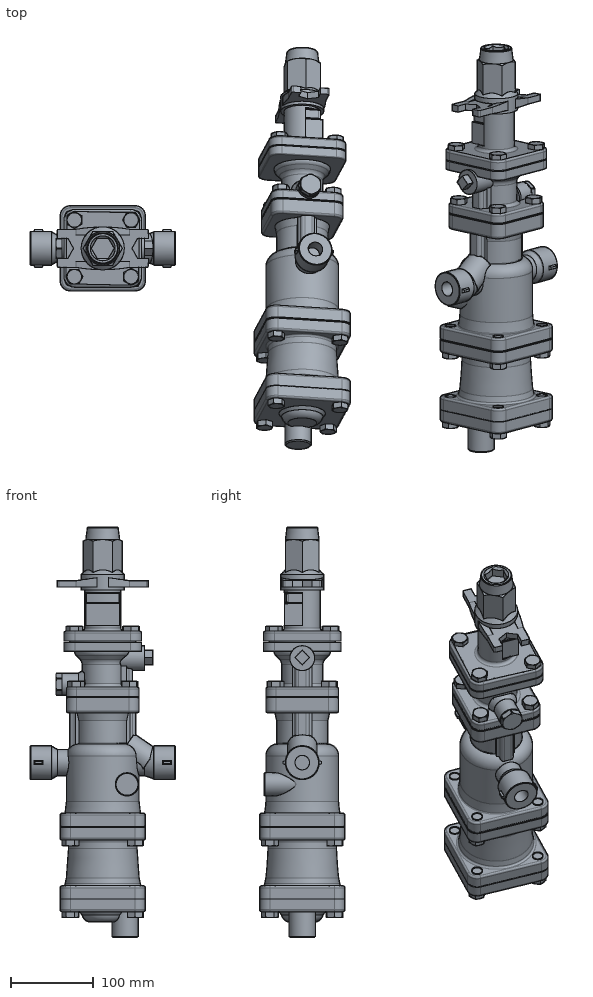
import cadquery as cq
import math


BOTTOM_FLANGE = dict(
    bottom=-180.0, top=-148.5, width=103.0, corner=12.5,
    joint=-164.7, bolt=39.0, under=2.5,
)
BODY_FLANGE = dict(
    bottom=-93.5, top=-61.0, width=103.0, corner=12.5,
    joint=-77.5, bolt=39.0, under=2.5,
)
NECK_FLANGE = dict(
    bottom=60.0, top=91.2, width=88.0, corner=12.5,
    joint=79.0, bolt=32.0, under=2.5,
)
BONNET_FLANGE = dict(
    bottom=134.0, top=158.6, width=94.0, corner=13.5,
    joint=145.8, bolt=34.2, under=1.0,
)
FLANGE_TOP_FILLET = 2.5
JOINT_GAP = 1.4
JOINT_GAP_NARROW = 0.2
GASKET_MARGIN = 1.5
BONNET_GASKET_DIA = 80.0

BOLT_FLATS = 17.8
BOLT_CHAMFER_DIA = 17.48
BOLT_CHAMFER_ANGLE = 20.0
BOLT_HEAD = 7.0
BONNET_BOLT_HEAD = 6.0
BOLT_TIP_DIA = 12.0
BOLT_TIP_GAP = 0.5
BOLT_TIP_RECESS = 1.0

BODY_DIA = 88.0
BODY_FOOT_DIA = 91.0
BODY_TAPER_TOP = -47.0
BODY_FOOT_FILLET = 1.0
SHOULDER_BOTTOM = 8.0
SHOULDER_TOP = 22.7
NECK_DIA = 62.0
NECK_FOOT_FILLET = 1.0
NECK_FOOT_Z = 22.4
NECK_HEAD_DIA = 66.0
NECK_HEAD_BOTTOM = 50.5
BARREL_TOP_DIA = 83.0
BARREL_FOOT_DIA = 91.0
BARREL_FOOT_FILLET = 2.5
BARREL_COLLAR_BOTTOM = -103.5
BARREL_TAPER_BOTTOM = -139.0
BARREL_BOTTOM_DIA = 88.0

COVER_RIM_DIA = 56.0
COVER_KNEE_DIA = 50.0
COVER_KNEE_Z = -184.0
COVER_FACE_DIA = 35.0
COVER_FACE_Z = -192.0
COVER_ROUND = 11.0
DRAIN_DIA = 32.0
DRAIN_X = 27.0
DRAIN_BOTTOM = -211.0
DRAIN_CHAMFER = 1.5

PORT_SPAN = 175.0
PORT_DIA = 41.0
PORT_LENGTH = 26.3
PORT_EDGE_CHAMFER = 0.8
PORT_BORE_DIA = 17.48
PORT_BORE_DEPTH = 20.0
INLET_CONE_LENGTH = 6.5
OUTLET_CONE_LENGTH = 11.0
PIPE_DIA = 32.0
LUG_LENGTH = 12.0
LUG_HEIGHT = 5.5
LUG_REACH = 23.0
LUG_ROOT = 1.0
LUG_INSET = 10.0
LUG_TIP_LENGTH = 9.0
LUG_TIP_HEIGHT = 2.5
ELBOW_DIA = 36.0
ELBOW_START = (28.0, 20.0)
ELBOW_END = (55.0, 1.5)

RIB_REACH = 40.0
UPPER_RIB_REACH = 36.0
RIB_TIP_HALF = 4.3
RIB_FOOT_HALF = 11.5
RIB_ROUND = 4.2
RIB_FOOT_ROUND = RIB_FOOT_HALF - RIB_TIP_HALF - RIB_ROUND

FRONT_BOSS_DIA = 28.0
FRONT_BOSS_X = 29.3
FRONT_BOSS_Z = -26.2
FRONT_BOSS_FACE = 46.0
FRONT_BOSS_CHAMFER = 0.8

THROAT_DIA = 50.0
THROAT_FOOT_FILLET = 4.0
FLARE_BOTTOM = 118.5
FLARE_CONE_BOTTOM = 124.5
FLARE_CONE_TOP = 129.0
SCREEN_BOSS_DIA = 27.0
SCREEN_BOSS_Z = 94.5
SCREEN_BOSS_END = 49.0
SCREEN_BOSS_ROOT_DIA = 36.0
SCREEN_BOSS_ROOT_X = 22.0
SCREEN_BOSS_ROOT_END = 29.5
SCREEN_PLUG_FLATS = 24.0
SCREEN_PLUG_END = 56.5
SCREEN_PLUG_CHAMFER = 1.0
PLUG_BOSS_DIA = 30.0
PLUG_BOSS_Z = 126.0
PLUG_BOSS_END = 50.6
SQUARE_PLUG_DIAGONAL = 17.6
SQUARE_PLUG_Z = 126.8
SQUARE_PLUG_END = 60.6

STEM_DIA = 44.0
STEM_FOOT_FILLET = 4.0
STEM_BLOCK_WIDTH = 40.0
STEM_BLOCK_FACE = 21.5
STEM_BLOCK_BOTTOM = 165.5
STEM_BLOCK_TOP = 191.7
STEM_PAD_BOTTOM = 193.2
STEM_PAD_TOP = 203.8
STEM_PAD_FLAT_END = 16.5
STEM_PAD_EDGE = 18.7
STEM_PAD_CHAMFER = 0.4
STEM_GROOVE_DEPTH = 1.5
HUB_DIA = 52.0
HUB_BOTTOM = 208.0
HUB_TOP = 227.0
HUB_GROOVE_DIA = 46.0
HUB_GROOVE_WIDTH = 1.0
HANDLE_LENGTH = 110.0
HANDLE_WIDTH = 46.0
HANDLE_BOTTOM = 211.7
HANDLE_TOP = 219.6
HANDLE_WRENCH_FLATS = 24.0
HANDLE_WRENCH_X = 49.0
HANDLE_STEP_LENGTH = 64.0
HANDLE_STEP_DEPTH = 7.0
HANDLE_STEP_RISE = 3.5
HANDLE_STEP_SWELL = 2.8
HANDLE_CORNER_ROUND = 2.0
KEY_WIDTH = 13.4
KEY_BOTTOM = 209.5
KEY_TOP = 224.2
CAP_FLATS = 41.0
CAP_CONE_BOTTOM_Z = 269.0
CAP_CONE_TOP_DIA = 37.5
CAP_TOP = 284.0
CAP_FLANGE_TOP = 232.5
CAP_FLANGE_TOP_DIA = 41.0
SOCKET_FLATS = 24.0
SOCKET_MOUTH_DIA = 30.0
SOCKET_DEPTH = 13.0
CAP_EDGE_CHAMFER = 1.0


def cylinder_z(diameter, z0, z1, x=0.0, y=0.0):
    """Upright cylinder from z0 to z1."""
    return cq.Workplane("XY", origin=(x, y, z0)).circle(diameter / 2).extrude(z1 - z0)


def cylinder_x(diameter, x0, x1, z=0.0):
    """Cylinder along X from x0 to x1, in the plane Y = 0."""
    return cq.Workplane("YZ", origin=(x0, 0, z)).circle(diameter / 2).extrude(x1 - x0)


def box(x0, x1, y0, y1, z0, z1):
    """Block between two opposite corners."""
    base = cq.Workplane("XY", origin=((x0 + x1) / 2, (y0 + y1) / 2, z0))
    return base.rect(x1 - x0, y1 - y0).extrude(z1 - z0)


def across_corners(flats):
    return flats / math.cos(math.pi / 6)


def turned(outline):
    """Solid made by turning a closed XZ outline around the Z axis."""
    return outline.revolve(360, (0, 0, 0), (0, 1, 0))


def revolve_profile(points):
    """Solid turned from straight (r, z) outline points."""
    return turned(cq.Workplane("XZ").polyline(points).close())


def square_flange(flange, gap):
    """Two square plates with rounded corners that meet at a thin gap around the gasket."""
    half = flange["width"] / 2
    joint = flange["joint"]
    plate = box(-half, half, -half, half, flange["bottom"], flange["top"])
    plate = plate.edges("|Z").fillet(flange["corner"])
    plate = plate.faces(">Z").edges().fillet(FLANGE_TOP_FILLET)
    plate = plate.faces("<Z").edges().fillet(flange["under"])
    gap_slab = box(-half, half, -half, half, joint - gap / 2, joint + gap / 2)
    return plate.cut(gap_slab)


def gasket(flange, gap):
    """Gasket that fills the joint just inside the flange outline."""
    width = flange["width"] - 2 * GASKET_MARGIN
    corner = flange["corner"] - GASKET_MARGIN
    sheet = cq.Workplane("XY", origin=(0, 0, flange["joint"] - gap / 2)).rect(width, width).extrude(gap)
    return sheet.edges("|Z").fillet(corner)


def bolt_head(x, y, seat, height, upward, turn):
    """Hexagon bolt head on a seat; its outer rim is chamfered down to a circle."""
    rim = across_corners(BOLT_FLATS)
    drop = (rim - BOLT_CHAMFER_DIA) / 2 * math.tan(math.radians(BOLT_CHAMFER_ANGLE))
    hexagon = cq.Workplane("XY").polygon(6, rim).extrude(height).rotate((0, 0, 0), (0, 0, 1), turn)
    envelope = revolve_profile([
        (0, 0),
        (rim / 2, 0),
        (rim / 2, height - drop),
        (BOLT_CHAMFER_DIA / 2, height),
        (0, height),
    ])
    head = hexagon.intersect(envelope)
    if not upward:
        head = head.mirror("XY")
    return head.translate((x, y, seat))


def bolt_heads(flange, height, upward):
    """Four bolt heads, each turned a quarter further around the flange."""
    seat = flange["top"] if upward else flange["bottom"]
    offset = flange["bolt"]
    heads = cq.Workplane("XY")
    for quarter in range(4):
        angle = math.radians(45 + 90 * quarter)
        x = offset * math.sqrt(2) * math.cos(angle)
        y = offset * math.sqrt(2) * math.sin(angle)
        turn = 90 * quarter
        heads = heads.add(bolt_head(x, y, seat, height, upward, turn))
    return heads.combine()


def bolt_tip_rings(flange):
    """Shallow ring clearances around the bolt ends in the top face of a flange."""
    offset = flange["bolt"]
    spots = [(sx * offset, sy * offset) for sx in (-1, 1) for sy in (-1, 1)]
    floor = cq.Workplane("XY", origin=(0, 0, flange["top"] - BOLT_TIP_RECESS)).pushPoints(spots)
    return floor.circle(BOLT_TIP_DIA / 2 + BOLT_TIP_GAP).circle(BOLT_TIP_DIA / 2).extrude(BOLT_TIP_RECESS)


def make_flanges():
    """All four flange pairs with their gaskets and bolts."""
    flanges = cq.Workplane("XY")
    for flange in (BOTTOM_FLANGE, BODY_FLANGE, NECK_FLANGE, BONNET_FLANGE):
        gap = JOINT_GAP_NARROW if flange is BOTTOM_FLANGE else JOINT_GAP
        plate = square_flange(flange, gap)
        if flange is BONNET_FLANGE:
            seal = cylinder_z(BONNET_GASKET_DIA, flange["joint"] - gap / 2, flange["joint"] + gap / 2)
        else:
            seal = gasket(flange, gap)
        flanges = flanges.add(plate.union(seal))
    flanges = flanges.combine()
    for flange in (BOTTOM_FLANGE, BODY_FLANGE):
        flanges = flanges.cut(bolt_tip_rings(flange))
        flanges = flanges.union(bolt_heads(flange, BOLT_HEAD, upward=False))
    flanges = flanges.union(bolt_heads(NECK_FLANGE, BOLT_HEAD, upward=True))
    return flanges.union(bolt_heads(BONNET_FLANGE, BONNET_BOLT_HEAD, upward=True))


def make_body():
    """Main body with a rounded shoulder, and the neck above it."""
    shoulder_round = SHOULDER_TOP - SHOULDER_BOTTOM
    shoulder_top_r = BODY_DIA / 2 - shoulder_round
    shoulder_mid_r = shoulder_top_r + shoulder_round / math.sqrt(2)
    shoulder_mid_z = SHOULDER_BOTTOM + shoulder_round / math.sqrt(2)
    outline = (
        cq.Workplane("XZ")
        .moveTo(0, BODY_FLANGE["top"])
        .lineTo(BODY_FOOT_DIA / 2 + BODY_FOOT_FILLET, BODY_FLANGE["top"])
        .radiusArc((BODY_FOOT_DIA / 2, BODY_FLANGE["top"] + BODY_FOOT_FILLET), BODY_FOOT_FILLET)
        .lineTo(BODY_DIA / 2, BODY_TAPER_TOP)
        .lineTo(BODY_DIA / 2, SHOULDER_BOTTOM)
        .threePointArc((shoulder_mid_r, shoulder_mid_z), (shoulder_top_r, SHOULDER_TOP))
        .lineTo(0, SHOULDER_TOP)
        .close()
    )
    body = turned(outline)
    neck_outline = (
        cq.Workplane("XZ")
        .moveTo(0, 0)
        .lineTo(NECK_DIA / 2 + NECK_FOOT_FILLET, 0)
        .lineTo(NECK_DIA / 2 + NECK_FOOT_FILLET, NECK_FOOT_Z)
        .radiusArc((NECK_DIA / 2, NECK_FOOT_Z + NECK_FOOT_FILLET), NECK_FOOT_FILLET)
        .lineTo(NECK_DIA / 2, NECK_HEAD_BOTTOM)
        .lineTo(NECK_HEAD_DIA / 2, NECK_FLANGE["bottom"])
        .lineTo(0, NECK_FLANGE["bottom"])
        .close()
    )
    neck = turned(neck_outline)
    return body.union(neck)


def make_barrel():
    """Tapered barrel between the two lower flanges."""
    top_z = BODY_FLANGE["bottom"]
    outline = (
        cq.Workplane("XZ")
        .moveTo(0, BOTTOM_FLANGE["top"])
        .lineTo(BARREL_FOOT_DIA / 2 + BARREL_FOOT_FILLET, BOTTOM_FLANGE["top"])
        .radiusArc((BARREL_FOOT_DIA / 2, BOTTOM_FLANGE["top"] + BARREL_FOOT_FILLET), BARREL_FOOT_FILLET)
        .lineTo(BARREL_BOTTOM_DIA / 2, BARREL_TAPER_BOTTOM)
        .lineTo(BARREL_TOP_DIA / 2, BARREL_COLLAR_BOTTOM)
        .lineTo(BARREL_TOP_DIA / 2, top_z - BARREL_FOOT_FILLET)
        .radiusArc((BARREL_TOP_DIA / 2 + BARREL_FOOT_FILLET, top_z), BARREL_FOOT_FILLET)
        .lineTo(0, top_z)
        .close()
    )
    return turned(outline)


def make_bottom_cover():
    """Shallow dome under the bottom flange with the drain pipe beside its centre."""
    outline = (
        cq.Workplane("XZ")
        .moveTo(0, BOTTOM_FLANGE["bottom"])
        .lineTo(COVER_RIM_DIA / 2, BOTTOM_FLANGE["bottom"])
        .lineTo(COVER_KNEE_DIA / 2, COVER_KNEE_Z)
        .radiusArc((COVER_FACE_DIA / 2, COVER_FACE_Z), COVER_ROUND)
        .lineTo(0, COVER_FACE_Z)
        .close()
    )
    dome = turned(outline)
    drain = cylinder_z(DRAIN_DIA, DRAIN_BOTTOM, BOTTOM_FLANGE["bottom"], x=DRAIN_X)
    drain = drain.faces("<Z").chamfer(DRAIN_CHAMFER)
    return dome.union(drain)


def make_port(cone_length):
    """Port built on the -X side: socket with two wedge lugs, cone and pipe into the body."""
    face_x = -PORT_SPAN / 2
    back_x = face_x + PORT_LENGTH
    pipe_x = back_x + cone_length
    socket = cylinder_x(PORT_DIA, face_x, back_x).edges().chamfer(PORT_EDGE_CHAMFER)
    cone_end_dia = PORT_DIA - 2 * PORT_EDGE_CHAMFER
    cone = (
        cq.Workplane("YZ", origin=(back_x, 0, 0))
        .circle(cone_end_dia / 2)
        .workplane(offset=cone_length)
        .circle(PIPE_DIA / 2)
        .loft()
    )
    pipe = cylinder_x(PIPE_DIA, pipe_x, 0)
    port = socket.union(cone).union(pipe)
    lug = (
        cq.Workplane("XZ", origin=(face_x + LUG_INSET, 0, 0))
        .workplane(offset=PORT_DIA / 2 - LUG_ROOT)
        .rect(LUG_LENGTH, LUG_HEIGHT)
        .workplane(offset=LUG_REACH - PORT_DIA / 2 + LUG_ROOT)
        .rect(LUG_TIP_LENGTH, LUG_TIP_HEIGHT)
        .loft()
    )
    return port.union(lug).union(lug.mirror("XZ"))


def port_bore():
    """Cutter for the blind bore in the -X port."""
    return cylinder_x(PORT_BORE_DIA, -PORT_SPAN / 2, -PORT_SPAN / 2 + PORT_BORE_DEPTH)


def make_outlet_elbow():
    """Slanted pipe from the body shoulder down to the outlet port."""
    run = ELBOW_END[0] - ELBOW_START[0]
    fall = ELBOW_END[1] - ELBOW_START[1]
    start = cq.Vector(ELBOW_START[0], 0, ELBOW_START[1])
    pipe = cq.Solid.makeCylinder(ELBOW_DIA / 2, math.hypot(run, fall), start, cq.Vector(run, 0, fall))
    return cq.Workplane(pipe)


def make_rib(reach, z0, z1):
    """Rib on the +X side with a rounded nose and hollow-rounded feet."""
    nose_x = reach - RIB_ROUND
    nose_half = RIB_TIP_HALF + RIB_ROUND
    foot_x = nose_x - RIB_FOOT_ROUND
    outline = (
        cq.Workplane("XY", origin=(0, 0, z0))
        .moveTo(0, -RIB_FOOT_HALF)
        .lineTo(foot_x, -RIB_FOOT_HALF)
        .radiusArc((nose_x, -nose_half), RIB_FOOT_ROUND)
        .radiusArc((reach, -RIB_TIP_HALF), -RIB_ROUND)
        .lineTo(reach, RIB_TIP_HALF)
        .radiusArc((nose_x, nose_half), -RIB_ROUND)
        .radiusArc((foot_x, RIB_FOOT_HALF), RIB_FOOT_ROUND)
        .lineTo(0, RIB_FOOT_HALF)
        .close()
    )
    return outline.extrude(z1 - z0)


def make_front_boss():
    """Round boss on the -Y side of the body."""
    boss = cq.Workplane("XZ", origin=(FRONT_BOSS_X, 0, FRONT_BOSS_Z))
    boss = boss.circle(FRONT_BOSS_DIA / 2).extrude(FRONT_BOSS_FACE)
    return boss.faces("<Y").chamfer(FRONT_BOSS_CHAMFER)


def make_throat():
    """Round throat that flares out under the bonnet flange."""
    throat_bottom = NECK_FLANGE["top"]
    r = THROAT_DIA / 2
    f = THROAT_FOOT_FILLET
    flare_top = BONNET_FLANGE["bottom"]
    lower_round = (FLARE_CONE_BOTTOM - FLARE_BOTTOM) * math.sqrt(2)
    upper_round = (flare_top - FLARE_CONE_TOP) * math.sqrt(2)
    cone_bottom_r = r + lower_round * (1 - 1 / math.sqrt(2))
    cone_top_r = cone_bottom_r + FLARE_CONE_TOP - FLARE_CONE_BOTTOM
    flare_top_r = cone_top_r + upper_round * (1 - 1 / math.sqrt(2))
    outline = (
        cq.Workplane("XZ")
        .moveTo(0, throat_bottom)
        .lineTo(r + f, throat_bottom)
        .radiusArc((r, throat_bottom + f), f)
        .lineTo(r, FLARE_BOTTOM)
        .radiusArc((cone_bottom_r, FLARE_CONE_BOTTOM), lower_round)
        .lineTo(cone_top_r, FLARE_CONE_TOP)
        .radiusArc((flare_top_r, flare_top), -upper_round)
        .lineTo(0, flare_top)
        .close()
    )
    return turned(outline)


def make_throat_bosses():
    """Screen boss with its hexagon plug on -X, and plug boss with a square plug on +X."""
    screen_boss = cylinder_x(SCREEN_BOSS_DIA, -SCREEN_BOSS_END, 0, SCREEN_BOSS_Z)
    root = (
        cq.Workplane("YZ", origin=(-SCREEN_BOSS_ROOT_X, 0, SCREEN_BOSS_Z))
        .circle(SCREEN_BOSS_ROOT_DIA / 2)
        .workplane(offset=SCREEN_BOSS_ROOT_X - SCREEN_BOSS_ROOT_END)
        .circle(SCREEN_BOSS_DIA / 2)
        .loft()
    )
    plug_envelope = cylinder_x(SCREEN_BOSS_DIA, -SCREEN_PLUG_END, 0, SCREEN_BOSS_Z).faces("<X")
    plug_envelope = plug_envelope.chamfer(SCREEN_PLUG_CHAMFER)
    screen_plug = (
        cq.Workplane("YZ", origin=(-SCREEN_PLUG_END, 0, SCREEN_BOSS_Z))
        .transformed(rotate=(0, 0, 90))
        .polygon(6, across_corners(SCREEN_PLUG_FLATS))
        .extrude(SCREEN_PLUG_END - SCREEN_BOSS_END)
        .intersect(plug_envelope)
    )
    plug_boss = cylinder_x(PLUG_BOSS_DIA, 0, PLUG_BOSS_END, PLUG_BOSS_Z)
    square_plug = (
        cq.Workplane("YZ", origin=(0, 0, SQUARE_PLUG_Z))
        .polygon(4, SQUARE_PLUG_DIAGONAL)
        .extrude(SQUARE_PLUG_END)
    )
    return screen_boss.union(root).union(screen_plug).union(plug_boss).union(square_plug)


def make_stem():
    """Round stem whose -Y half carries a square block and a bowed pad above it."""
    z0 = BONNET_FLANGE["top"]
    r = STEM_DIA / 2
    f = STEM_FOOT_FILLET
    outline = (
        cq.Workplane("XZ")
        .moveTo(0, z0)
        .lineTo(r + f, z0)
        .radiusArc((r, z0 + f), f)
        .lineTo(r, HUB_BOTTOM)
        .lineTo(0, HUB_BOTTOM)
        .close()
    )
    stem = turned(outline)
    core_top = STEM_PAD_TOP + STEM_PAD_BOTTOM - STEM_BLOCK_TOP
    stem = stem.cut(box(-STEM_DIA, STEM_DIA, -STEM_DIA, 0, STEM_BLOCK_BOTTOM, core_top))
    half = STEM_BLOCK_WIDTH / 2
    block = box(-half, half, -STEM_BLOCK_FACE, 0, STEM_BLOCK_BOTTOM, STEM_BLOCK_TOP)
    pad = (
        cq.Workplane("XY", origin=(0, 0, STEM_PAD_BOTTOM))
        .moveTo(-half, 0)
        .lineTo(-half, -STEM_PAD_FLAT_END)
        .lineTo(-half + STEM_PAD_CHAMFER, -STEM_PAD_EDGE)
        .threePointArc((0, -STEM_BLOCK_FACE), (half - STEM_PAD_CHAMFER, -STEM_PAD_EDGE))
        .lineTo(half, -STEM_PAD_FLAT_END)
        .lineTo(half, 0)
        .close()
        .extrude(STEM_PAD_TOP - STEM_PAD_BOTTOM)
    )
    core_half = half - STEM_GROOVE_DEPTH
    core_face = STEM_PAD_EDGE - STEM_GROOVE_DEPTH
    core = box(-core_half, core_half, -core_face, 0, STEM_BLOCK_TOP, core_top)
    return stem.union(block).union(pad).union(core)


def make_handle():
    """Handle plate with an open hexagon notch at each end, around a round hub."""
    half_length = HANDLE_LENGTH / 2
    half_width = HANDLE_WIDTH / 2
    plate = box(-half_length, half_length, -half_width, half_width, HANDLE_BOTTOM, HANDLE_TOP)
    plate = plate.edges("|Z").fillet(HANDLE_CORNER_ROUND)
    thickness = HANDLE_TOP - HANDLE_BOTTOM
    for x in (-HANDLE_WRENCH_X, HANDLE_WRENCH_X):
        notch = cq.Workplane("XY", origin=(x, 0, HANDLE_BOTTOM))
        plate = plate.cut(notch.polygon(6, across_corners(HANDLE_WRENCH_FLATS)).extrude(thickness))
        mouth = notch.rect(HANDLE_WRENCH_FLATS / 2, HANDLE_WRENCH_FLATS).extrude(thickness)
        plate = plate.cut(mouth.translate((math.copysign(HANDLE_WRENCH_FLATS / 4, x), 0, 0)))
    step_x = HANDLE_STEP_LENGTH / 2
    step_top = HANDLE_TOP + HANDLE_STEP_RISE
    step_front = half_width + HANDLE_STEP_SWELL
    step_height = (
        cq.Workplane("XZ")
        .moveTo(-step_x, HANDLE_BOTTOM)
        .lineTo(-step_x, HANDLE_TOP)
        .lineTo(-KEY_WIDTH / 2, step_top)
        .lineTo(KEY_WIDTH / 2, step_top)
        .lineTo(step_x, HANDLE_TOP)
        .lineTo(step_x, HANDLE_BOTTOM)
        .close()
        .extrude(step_front)
    )
    step = (
        cq.Workplane("XY", origin=(0, 0, HANDLE_BOTTOM))
        .moveTo(-step_x, HANDLE_STEP_DEPTH - half_width)
        .lineTo(-step_x, -half_width)
        .threePointArc((0, -step_front), (step_x, -half_width))
        .lineTo(step_x, HANDLE_STEP_DEPTH - half_width)
        .close()
        .extrude(thickness + HANDLE_STEP_RISE)
        .intersect(step_height)
    )
    step = step.cut(box(-KEY_WIDTH / 2, KEY_WIDTH / 2, -step_front, 0, HANDLE_BOTTOM, step_top))
    hub = cylinder_z(HUB_DIA, HANDLE_TOP + HUB_GROOVE_WIDTH, HUB_TOP)
    hub = hub.union(cylinder_z(HUB_GROOVE_DIA, HUB_BOTTOM, HUB_TOP))
    hub = hub.union(cylinder_z(HUB_DIA, HUB_BOTTOM, HANDLE_BOTTOM))
    key = cylinder_z(HUB_DIA, KEY_BOTTOM, KEY_TOP)
    key = key.intersect(box(-KEY_WIDTH / 2, KEY_WIDTH / 2, -HUB_DIA, HUB_DIA, KEY_BOTTOM, KEY_TOP))
    return plate.union(step).union(step.mirror("XZ")).union(hub).union(key)


def make_cap():
    """Hexagon cap with a conical collar below, a cone on top and a hexagon socket."""
    collar = revolve_profile([
        (0, HUB_TOP),
        (HUB_DIA / 2, HUB_TOP),
        (CAP_FLANGE_TOP_DIA / 2, CAP_FLANGE_TOP),
        (0, CAP_FLANGE_TOP),
    ])
    corner_r = across_corners(CAP_FLATS) / 2
    drop = (corner_r - CAP_FLATS / 2) * math.tan(math.pi / 6)
    hexagon = cq.Workplane("XY", origin=(0, 0, HUB_TOP)).polygon(6, 2 * corner_r).extrude(CAP_TOP - HUB_TOP)
    envelope = revolve_profile([
        (0, HUB_TOP),
        (corner_r, HUB_TOP),
        (corner_r, CAP_CONE_BOTTOM_Z - drop),
        (CAP_FLATS / 2, CAP_CONE_BOTTOM_Z),
        (CAP_CONE_TOP_DIA / 2, CAP_TOP - CAP_EDGE_CHAMFER),
        (CAP_CONE_TOP_DIA / 2 - CAP_EDGE_CHAMFER, CAP_TOP),
        (0, CAP_TOP),
    ])
    socket = (
        cq.Workplane("XY", origin=(0, 0, CAP_TOP - SOCKET_DEPTH))
        .polygon(6, across_corners(SOCKET_FLATS))
        .extrude(SOCKET_DEPTH)
    )
    mouth_drop = (SOCKET_MOUTH_DIA - SOCKET_FLATS) / 2
    mouth = revolve_profile([
        (0, CAP_TOP),
        (SOCKET_MOUTH_DIA / 2, CAP_TOP),
        (SOCKET_FLATS / 2, CAP_TOP - mouth_drop),
        (0, CAP_TOP - mouth_drop),
    ])
    return hexagon.intersect(envelope).union(collar).cut(socket).cut(mouth)


inlet_port = make_port(INLET_CONE_LENGTH)
outlet_port = make_port(OUTLET_CONE_LENGTH).mirror("YZ")
side_rib = make_rib(RIB_REACH, 0, NECK_FLANGE["bottom"])

result = (
    make_flanges()
    .union(make_body())
    .union(make_barrel())
    .union(make_bottom_cover())
    .union(side_rib)
    .union(side_rib.mirror("YZ"))
    .union(inlet_port)
    .union(outlet_port)
    .union(make_outlet_elbow())
    .union(make_front_boss())
    .union(make_throat())
    .union(make_throat_bosses())
    .union(make_rib(UPPER_RIB_REACH, NECK_FLANGE["top"], PLUG_BOSS_Z))
    .union(make_stem())
    .union(make_handle())
    .union(make_cap())
    .cut(port_bore())
    .cut(port_bore().mirror("YZ"))
)